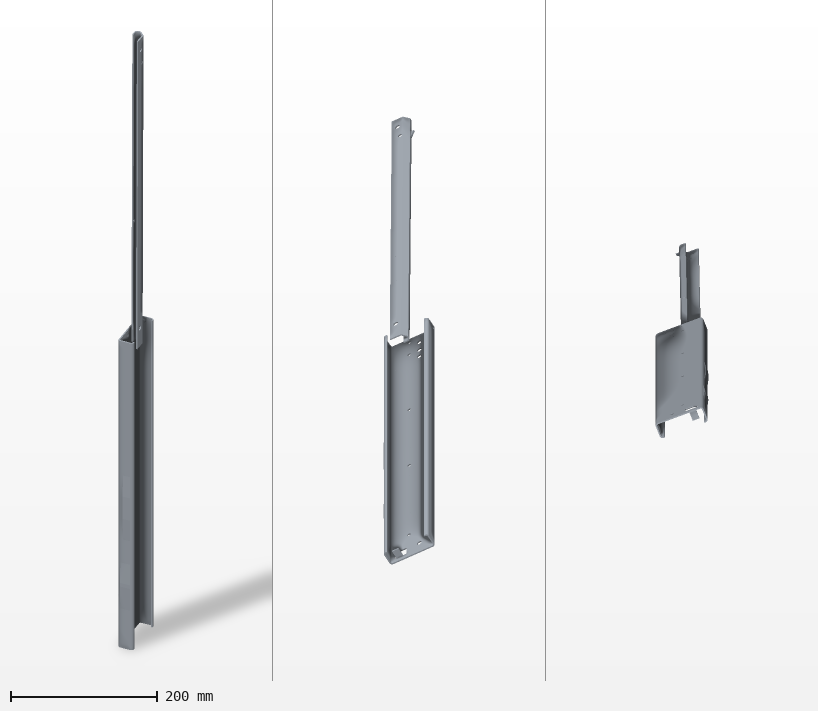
import cadquery as cq
import math

TOTAL_LENGTH = 985.0
TOTAL_WIDTH = 71.0
MEMBER_LENGTH = 499.9
SHEET = 2.0

BUMP_HEIGHT = 1.5
HOUSING_DEPTH = 23.0
HOUSING_BACK = TOTAL_WIDTH
HOUSING_FRONT = BUMP_HEIGHT
CORNER_RADIUS = 4.0
LIP_LENGTH = 6.0
MOUNTING_HOLE_DIAMETER = 7.0
MOUNTING_HOLE_Y = 46.0
MOUNTING_HOLE_Z = [20.0, 450.0, 465.0, 483.0]
PIN_HOLE_DIAMETER = 5.0
PIN_HOLE_Y = 31.0
PIN_HOLE_Z = [49.0, 209.0, 337.0, 464.0, 491.5]
SIDE_HOLE_Y = 57.0
SIDE_HOLE_Z = 482.0

DENT_X = 7.0
DENT_Z = 493.0
DENT_BOSS_DIAMETER = 7.0
DENT_RECESS_DIAMETER = 4.0
DENT_DEPTH = 2.5

WINDOW_Y = (9.0, 27.0)
WINDOW_Z = (8.0, 22.0)
WINDOW_CHAMFER = 6.0
TAB_Y = (12.0, 22.0)
TAB_REACH = 16.0

NARROW_RAMP_X = (8.0, 19.0)
NARROW_RAMP_Z = (177.0, 212.0, 248.0, 282.0)
WIDE_RAMP_X = (CORNER_RADIUS, HOUSING_DEPTH - CORNER_RADIUS)
WIDE_RAMP_Z = (64.0, 100.0, 106.0, 139.0)

RAIL_TILT = 0.35
RAIL_FOOT_Y = 13.0
RAIL_BASE_Z = TOTAL_LENGTH - MEMBER_LENGTH
RAIL_BACK_X = 9.0
RAIL_PROUD = 1.4
RAIL_FACE_X = HOUSING_DEPTH + RAIL_PROUD
RAIL_HEIGHT = 25.0
RAIL_LIP_START = 14.0
RAIL_CROWN_X = 17.0
RAIL_CORNER_RADIUS = 5.0
RAIL_SLOPE_ANGLE = 45
RAIL_HOLE_DIAMETER = 7.0
RAIL_HOLE_Y = 9.0
RAIL_HOLE_Z = (30.0, 482.0)
RAIL_PIN_HOLE_DIAMETER = 6.0
RAIL_PIN_HOLE_Y = 13.0
RAIL_PIN_HOLE_Z = 459.0
LIP_HOLE_Y = 18.0
LIP_HOLE_Z = 195.0
CATCH_X = (12.0, 15.0)
CATCH_HEIGHT = 5.0
CATCH_Z = (461.0, 473.0)


def bore(diameter, start_x, depth, y, z):
    """Cylinder along +X that starts at start_x, for cutting a round hole."""
    start = cq.Vector(start_x, y, z)
    return cq.Workplane(cq.Solid.makeCylinder(diameter / 2, depth, start, cq.Vector(1, 0, 0)))


def block(x_range, y_range, z_range):
    """Box that spans the three given ranges."""
    sizes = [high - low for low, high in (x_range, y_range, z_range)]
    return cq.Workplane().box(*sizes, centered=False).translate((x_range[0], y_range[0], z_range[0]))


def channel():
    """C channel with rounded corners and short inward lips on its open side."""
    width = HOUSING_BACK - HOUSING_FRONT
    middle_y = (HOUSING_BACK + HOUSING_FRONT) / 2
    outer = (
        cq.Workplane()
        .center(HOUSING_DEPTH / 2, middle_y)
        .rect(HOUSING_DEPTH, width)
        .extrude(MEMBER_LENGTH)
        .edges("|Z")
        .fillet(CORNER_RADIUS)
    )
    hollow = (
        cq.Workplane()
        .center(HOUSING_DEPTH / 2, middle_y)
        .rect(HOUSING_DEPTH - 2 * SHEET, width - 2 * SHEET)
        .extrude(MEMBER_LENGTH)
        .edges("|Z")
        .fillet(CORNER_RADIUS - SHEET)
    )
    mouth = block(
        (HOUSING_DEPTH / 2, HOUSING_DEPTH),
        (HOUSING_FRONT + LIP_LENGTH, HOUSING_BACK - LIP_LENGTH),
        (0, MEMBER_LENGTH),
    )
    return outer.cut(hollow).cut(mouth)


def ramp(x_range, stations):
    """Raised trapezoidal bump on the outside of the front flange."""
    start, plateau_start, plateau_end, end = stations
    root_y = HOUSING_FRONT + SHEET / 2
    profile = [
        (root_y, start),
        (HOUSING_FRONT, start),
        (HOUSING_FRONT - BUMP_HEIGHT, plateau_start),
        (HOUSING_FRONT - BUMP_HEIGHT, plateau_end),
        (HOUSING_FRONT, end),
        (root_y, end),
    ]
    solid = cq.Workplane("YZ").polyline(profile).close().extrude(x_range[1] - x_range[0])
    return solid.translate((x_range[0], 0, 0))


def window():
    """Cutter for the window in the web, with its upper front corner cut off."""
    opening = block((0, SHEET), WINDOW_Y, WINDOW_Z)
    return opening.edges("|X and >Z and <Y").chamfer(WINDOW_CHAMFER)


def peg(diameter, depth):
    """Cylinder along -Y that starts on the outside of the back flange, at the dent."""
    start = cq.Vector(DENT_X, HOUSING_BACK, DENT_Z)
    return cq.Workplane(cq.Solid.makeCylinder(diameter / 2, depth, start, cq.Vector(0, -1, 0)))


def make_housing():
    body = channel()
    body = body.union(peg(DENT_BOSS_DIAMETER, SHEET + DENT_DEPTH))
    body = body.cut(peg(DENT_RECESS_DIAMETER, DENT_DEPTH))
    body = body.union(ramp(NARROW_RAMP_X, NARROW_RAMP_Z))
    body = body.union(ramp(WIDE_RAMP_X, WIDE_RAMP_Z))
    for z in MOUNTING_HOLE_Z:
        body = body.cut(bore(MOUNTING_HOLE_DIAMETER, 0, SHEET, MOUNTING_HOLE_Y, z))
    for z in PIN_HOLE_Z:
        body = body.cut(bore(PIN_HOLE_DIAMETER, 0, SHEET, PIN_HOLE_Y, z))
    body = body.cut(bore(PIN_HOLE_DIAMETER, 0, SHEET, SIDE_HOLE_Y, SIDE_HOLE_Z))
    body = body.cut(window())
    stop_tab = block((0, TAB_REACH), TAB_Y, (WINDOW_Z[0] - SHEET, WINDOW_Z[0]))
    return body.union(stop_tab)


def rail_strip():
    """Hooked strip: upright web, slope up to a flat crown, and a lip hanging at the back."""
    slope = math.radians(RAIL_SLOPE_ANGLE)
    web_top = RAIL_HEIGHT - (RAIL_FACE_X - RAIL_CROWN_X) * math.tan(slope)
    bend_step = SHEET * math.tan(slope / 2)
    inner_web_x = RAIL_FACE_X - SHEET
    inner_crown_y = RAIL_HEIGHT - SHEET
    crown_start = RAIL_BACK_X + RAIL_CORNER_RADIUS
    inner_radius = RAIL_CORNER_RADIUS - SHEET
    return (
        cq.Workplane()
        .moveTo(RAIL_FACE_X, 0)
        .lineTo(RAIL_FACE_X, web_top)
        .lineTo(RAIL_CROWN_X, RAIL_HEIGHT)
        .lineTo(crown_start, RAIL_HEIGHT)
        .radiusArc((RAIL_BACK_X, RAIL_HEIGHT - RAIL_CORNER_RADIUS), -RAIL_CORNER_RADIUS)
        .lineTo(RAIL_BACK_X, RAIL_LIP_START)
        .lineTo(RAIL_BACK_X + SHEET, RAIL_LIP_START)
        .lineTo(RAIL_BACK_X + SHEET, RAIL_HEIGHT - RAIL_CORNER_RADIUS)
        .radiusArc((crown_start, inner_crown_y), inner_radius)
        .lineTo(RAIL_CROWN_X - bend_step, inner_crown_y)
        .lineTo(inner_web_x, web_top - bend_step)
        .lineTo(inner_web_x, 0)
        .close()
        .extrude(MEMBER_LENGTH)
    )


def catch():
    """Small wedge standing on the crown, square at its top end and sloping away below."""
    root_y = RAIL_HEIGHT - SHEET / 2
    profile = [
        (root_y, CATCH_Z[0]),
        (RAIL_HEIGHT, CATCH_Z[0]),
        (RAIL_HEIGHT + CATCH_HEIGHT, CATCH_Z[1]),
        (root_y, CATCH_Z[1]),
    ]
    solid = cq.Workplane("YZ").polyline(profile).close().extrude(CATCH_X[1] - CATCH_X[0])
    return solid.translate((CATCH_X[0], 0, 0))


def make_rail():
    web_x = RAIL_FACE_X - SHEET
    body = rail_strip().union(catch())
    for z in RAIL_HOLE_Z:
        body = body.cut(bore(RAIL_HOLE_DIAMETER, web_x, SHEET, RAIL_HOLE_Y, z))
    body = body.cut(bore(RAIL_PIN_HOLE_DIAMETER, web_x, SHEET, RAIL_PIN_HOLE_Y, RAIL_PIN_HOLE_Z))
    body = body.cut(bore(RAIL_PIN_HOLE_DIAMETER, RAIL_BACK_X, SHEET, LIP_HOLE_Y, LIP_HOLE_Z))
    leaning = body.rotate((0, 0, 0), (1, 0, 0), -RAIL_TILT)
    return leaning.translate((0, RAIL_FOOT_Y, RAIL_BASE_Z))


housing = make_housing()
rail = make_rail()

result = cq.Compound.makeCompound([housing.val(), rail.val()])